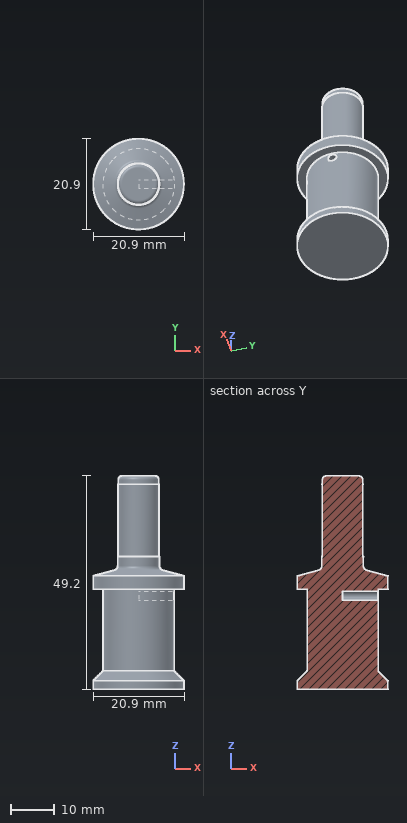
import cadquery as cq
import math

total_height = 49.2
flange_diameter = 20.95

waist_diameter = 16.5
foot_rim_height = 2.0
flange_bottom_z = 23.05
flange_top_z = 26.15
flange_slope = math.radians(15)

collar_diameter = 9.7
stud_diameter = 9.5
tip_diameter = 9.4
root_fillet = 1.05
collar_top_z = 30.5
stud_step_height = 0.15
tip_length = 2.0
tip_round = 0.95

side_hole_diameter = 2.0
side_hole_z = 21.55

flange_radius = flange_diameter / 2
waist_radius = waist_diameter / 2
collar_radius = collar_diameter / 2
stud_radius = stud_diameter / 2
tip_radius = tip_diameter / 2

foot_top_z = foot_rim_height + flange_radius - waist_radius

fillet_start_radius = collar_radius + root_fillet * (1 - math.sin(flange_slope))
fillet_start_z = flange_top_z + (flange_radius - fillet_start_radius) * math.tan(flange_slope)
fillet_center_radius = collar_radius + root_fillet
fillet_center_z = fillet_start_z + root_fillet * math.cos(flange_slope)


def arc_midpoint(center_radius, center_z, arc_radius, angle):
    """Point on a profile arc at the given angle from the outward direction."""
    return (center_radius + arc_radius * math.cos(angle), center_z + arc_radius * math.sin(angle))


fillet_sweep = math.pi / 2 - flange_slope
fillet_mid = arc_midpoint(
    fillet_center_radius, fillet_center_z, root_fillet, math.pi + fillet_sweep / 2
)
tip_round_z = total_height - tip_round
tip_mid = arc_midpoint(tip_radius - tip_round, tip_round_z, tip_round, math.pi / 4)


def turned_body():
    """Revolve the half profile around Z."""
    return (
        cq.Workplane("XZ")
        .moveTo(0, 0)
        .lineTo(flange_radius, 0)
        .lineTo(flange_radius, foot_rim_height)
        .lineTo(waist_radius, foot_top_z)
        .lineTo(waist_radius, flange_bottom_z)
        .lineTo(flange_radius, flange_bottom_z)
        .lineTo(flange_radius, flange_top_z)
        .lineTo(fillet_start_radius, fillet_start_z)
        .threePointArc(fillet_mid, (collar_radius, fillet_center_z))
        .lineTo(collar_radius, collar_top_z)
        .lineTo(stud_radius, collar_top_z + stud_step_height)
        .lineTo(stud_radius, total_height - tip_length)
        .lineTo(tip_radius, total_height - tip_length)
        .lineTo(tip_radius, tip_round_z)
        .threePointArc(tip_mid, (tip_radius - tip_round, total_height))
        .lineTo(0, total_height)
        .close()
        .revolve(360, (0, 0, 0), (0, 1, 0))
    )


def side_hole():
    """Cutter running from the part axis out through the +X side."""
    return (
        cq.Workplane("YZ")
        .center(0, side_hole_z)
        .circle(side_hole_diameter / 2)
        .extrude(flange_radius)
    )


result = turned_body().cut(side_hole())